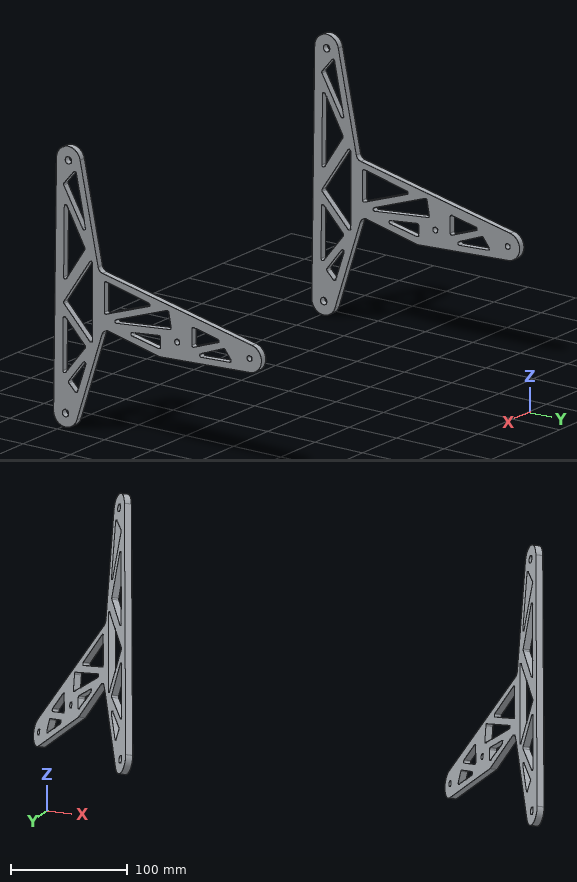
import cadquery as cq
import math


OVERALL_WIDTH = 384.0
PLATE_THICKNESS = 6.5

END_RADIUS = 12.5
LOWER_END = (0.0, 0.0)
UPPER_END = (3.0, 228.5)
NOSE_END = (194.5, 87.0)

UPPER_CORNER = (35.5, 134.5)
LOWER_CORNER = (40.5, 83.8)
CHIN_CORNER = (99.0, 70.0)
INNER_CORNER_RADIUS = 6.0

MOUNT_HOLE_DIAMETER = 6.5
ARM_HOLE_DIAMETER = 5.0
ARM_HOLE_CENTER = (118.0, NOSE_END[1])

POCKET_CORNER_RADIUS = 1.5
SPAR_BACK_Y = 28.5
SPAR_FRONT_Y = 41.0
ARM_POST_FRONT_Y = 133.7
ARM_POST_BACK_Y = 100.3
POCKETS = [
    [(23.0, 161.5), (-2.3, 206.3), (10.8, 221.5)],
    [(-1.0, 192.5), (20.7, 152.0), (-2.0, 117.0)],
    [(SPAR_BACK_Y, 145.5), (-2.3, 99.5), (SPAR_BACK_Y, 67.0)],
    [(-2.3, 89.0), (21.5, 63.8), (-2.5, 33.5)],
    [(24.2, 56.5), (2.5, 29.0), (12.0, 19.5)],
    [(SPAR_FRONT_Y, 127.0), (SPAR_FRONT_Y, 97.0), (93.0, 115.0)],
    [(41.5, 90.3), (111.8, 97.0), (108.7, 113.7)],
    [(ARM_POST_BACK_Y, 89.0), (60.7, 85.3), (ARM_POST_BACK_Y, 77.0)],
    [(ARM_POST_FRONT_Y, 103.7), (ARM_POST_FRONT_Y, 85.0), (166.0, 96.5)],
    [(176.5, 79.5), (168.0, 90.5), (134.0, 77.5)],
]


def point_on_end(center, angle):
    """Point of a rounded end at an angle measured from +Y towards +Z."""
    return (center[0] + END_RADIUS * math.cos(angle), center[1] + END_RADIUS * math.sin(angle))


def tangent_angle(center, corner, side):
    """Angle on a rounded end where the straight edge to a corner touches it.

    side is +1 or -1 for the touching point lying counterclockwise or clockwise of the corner.
    """
    dy = corner[0] - center[0]
    dz = corner[1] - center[1]
    return math.atan2(dz, dy) + side * math.acos(END_RADIUS / math.hypot(dy, dz))


def end_arc(center, start_angle, end_angle):
    """Start, middle and end points of the counterclockwise arc around a rounded end."""
    sweep = (end_angle - start_angle) % math.tau
    return [point_on_end(center, start_angle + sweep * share) for share in (0, 0.5, 1)]


def plate_blank():
    """Solid plate with three rounded ends and rounded inner corners."""
    back_edge_angle = math.atan2(UPPER_END[1] - LOWER_END[1], UPPER_END[0] - LOWER_END[0]) + math.pi / 2
    lower_arc = end_arc(LOWER_END, back_edge_angle, tangent_angle(LOWER_END, LOWER_CORNER, -1))
    nose_arc = end_arc(
        NOSE_END,
        tangent_angle(NOSE_END, CHIN_CORNER, 1),
        tangent_angle(NOSE_END, UPPER_CORNER, -1),
    )
    upper_arc = end_arc(UPPER_END, tangent_angle(UPPER_END, UPPER_CORNER, 1), back_edge_angle)
    blank = (
        cq.Workplane("YZ")
        .moveTo(*lower_arc[0])
        .threePointArc(*lower_arc[1:])
        .lineTo(*LOWER_CORNER)
        .lineTo(*CHIN_CORNER)
        .lineTo(*nose_arc[0])
        .threePointArc(*nose_arc[1:])
        .lineTo(*UPPER_CORNER)
        .lineTo(*upper_arc[0])
        .threePointArc(*upper_arc[1:])
        .close()
        .extrude(PLATE_THICKNESS)
    )
    for y, z in (UPPER_CORNER, LOWER_CORNER):
        corner_edge = cq.selectors.NearestToPointSelector((PLATE_THICKNESS / 2, y, z))
        blank = blank.edges("|X").edges(corner_edge).fillet(INNER_CORNER_RADIUS)
    return blank


def pocket_cutter(corners):
    """Triangular prism with rounded corners, as thick as the plate."""
    prism = cq.Workplane("YZ").polyline(corners).close().extrude(PLATE_THICKNESS)
    return prism.edges("|X").fillet(POCKET_CORNER_RADIUS)


def hole_cutter(centers, diameter):
    """Round through holes."""
    return cq.Workplane("YZ").pushPoints(centers).circle(diameter / 2).extrude(PLATE_THICKNESS)


def truss_plate(left_x):
    """One finished plate with its left face at left_x."""
    plate = plate_blank()
    for corners in POCKETS:
        plate = plate.cut(pocket_cutter(corners))
    plate = plate.cut(hole_cutter([LOWER_END, UPPER_END], MOUNT_HOLE_DIAMETER))
    plate = plate.cut(hole_cutter([NOSE_END, ARM_HOLE_CENTER], ARM_HOLE_DIAMETER))
    return plate.translate((left_x, 0, 0))


left_faces = (-OVERALL_WIDTH / 2, OVERALL_WIDTH / 2 - PLATE_THICKNESS)
truss_plates = [truss_plate(left_x) for left_x in left_faces]

result = cq.Compound.makeCompound([plate.val() for plate in truss_plates])